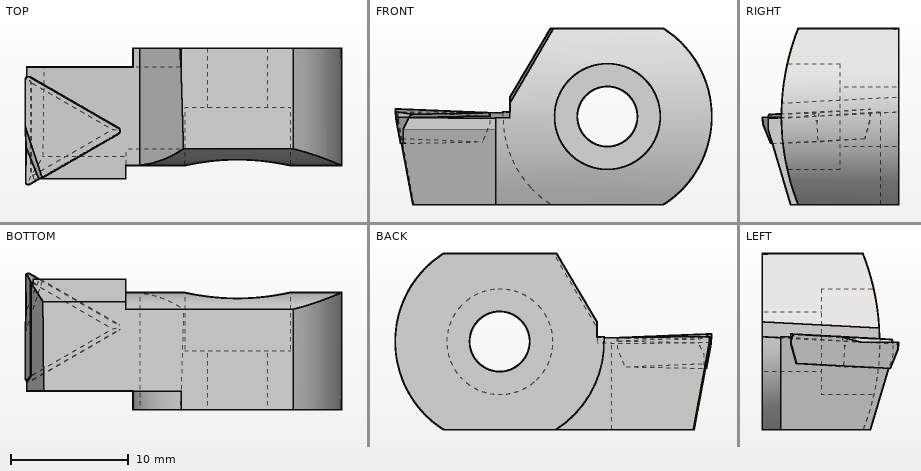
import cadquery as cq
import math


height = 15.0
half_height = height / 2
end_radius = 8.9
body_depth = 10.0
crown_edge_depth = 8.56
neck_x = -9.48
bore_dia = 5.1
counterbore_dia = 9.0
web_depth = 5.0

wall_x = -8.3
seat_z = 0.4
side_tilt = 3.0
end_tilt = 0.6
wall_height = 1.27
slope_angle = 30.0

block_back = -1.6
block_front = -11.12
block_bottom_front = -9.2
block_setback = 0.08
block_lip_z = -1.08

insert_x = -18.05
insert_side = 9.7
insert_mid_y = -7.03
insert_rise = 0.27
insert_thickness = 2.48
nose_radius = 0.32
clearance_angle = 11.0

ledge_z = -0.05
ledge_start_y = -8.21
ledge_angle = 22.0
ledge_wall_lean = 51.0

margin = 26.93

seat_x_slope = -math.tan(math.radians(end_tilt))
seat_y_slope = math.tan(math.radians(side_tilt))
seat = cq.Plane(
    origin=(wall_x, 0, seat_z),
    xDir=(1, 0, seat_x_slope),
    normal=(-seat_x_slope, -seat_y_slope, 1),
)
clearance_slope = math.tan(math.radians(clearance_angle))


def seat_profile(points):
    """Prism with an outline in the seat frame's local X and Z, running across the part."""
    plane = cq.Plane(origin=seat.origin, xDir=seat.xDir, normal=-seat.yDir)
    return cq.Workplane(plane).polyline(points).close().extrude(margin, both=True)


def make_plate():
    """Rounded plate, widened to the neck in front of the block's back face."""
    disc = cq.Workplane("XZ").circle(end_radius).extrude(body_depth)
    neck = cq.Workplane("XY").box(
        -neck_x, body_depth + block_back, height, centered=False
    ).translate((neck_x, -body_depth, -half_height))
    return disc.union(neck)


def make_crown():
    """Side outline swept along X: flat back, top and bottom, and an arched front."""
    return (
        cq.Workplane("YZ")
        .moveTo(0, -half_height)
        .lineTo(-crown_edge_depth, -half_height)
        .threePointArc((-body_depth, 0), (-crown_edge_depth, half_height))
        .lineTo(0, half_height)
        .close()
        .extrude(margin, both=True)
    )


def make_seat_cut():
    """Space above the seat, bounded by the wall and by the slope above it."""
    slope_run = (margin - wall_height) * math.tan(math.radians(slope_angle))
    return seat_profile(
        [(-margin, 0), (0, 0), (0, wall_height), (slope_run, margin), (-margin, margin)]
    )


def make_block():
    """Block that carries the insert: undercut end face, leaning front face, tilted top."""
    end_at_seat = insert_x - wall_x + block_setback + insert_rise * clearance_slope
    end_at_foot = end_at_seat + margin * clearance_slope
    envelope = seat_profile(
        [(end_at_seat, 0), (margin, 0), (margin, -margin), (end_at_foot, -margin)]
    )
    section = [
        (block_back, half_height),
        (block_back, -half_height),
        (block_bottom_front, -half_height),
        (block_front, block_lip_z),
        (block_front, half_height),
    ]
    bar = cq.Workplane("YZ").workplane(offset=neck_x).polyline(section).close().extrude(-margin)
    return bar.intersect(envelope)


def insert_outline():
    """Sharp triangle in the insert's top plane, with one side along the cutting edge."""
    edge_x = insert_x - wall_x
    half_side = insert_side / 2
    tip_x = edge_x + insert_side * math.cos(math.radians(30))
    return (
        cq.Workplane(seat)
        .workplane(offset=insert_rise)
        .polyline([
            (edge_x, insert_mid_y - half_side),
            (tip_x, insert_mid_y),
            (edge_x, insert_mid_y + half_side),
        ])
        .close()
    )


def make_insert_blank():
    """Relieved triangle trimmed by a straight prism with rounded corners."""
    relieved = insert_outline().extrude(-insert_thickness, taper=clearance_angle)
    prism = insert_outline().extrude(-insert_thickness)
    corners = prism.edges(cq.selectors.ParallelDirSelector(seat.zDir))
    return relieved.intersect(corners.fillet(nose_radius))


def make_chip_breaker():
    """Space above the ledge, cut away from the front corner of the insert."""
    turn = math.radians(ledge_angle)
    foot = cq.Plane(
        origin=(insert_x, ledge_start_y, ledge_z),
        xDir=(math.cos(turn), math.sin(turn), 0),
        normal=(math.sin(turn), -math.cos(turn), 0),
    )
    wall_run = margin * math.tan(math.radians(ledge_wall_lean))
    return (
        cq.Workplane(foot)
        .polyline([(0, 0), (-margin, 0), (-margin, margin), (wall_run, margin)])
        .close()
        .extrude(margin, both=True)
    )


insert_blank = make_insert_blank()
insert = insert_blank.cut(make_chip_breaker())

bore = cq.Workplane("XZ").circle(bore_dia / 2).extrude(body_depth)
counterbore = (
    cq.Workplane("XZ").workplane(offset=web_depth).circle(counterbore_dia / 2).extrude(body_depth)
)
holder = (
    make_plate()
    .intersect(make_crown())
    .cut(make_seat_cut())
    .union(make_block())
    .cut(bore)
    .cut(counterbore)
    .cut(insert_blank)
)

result = cq.Compound.makeCompound([holder.val(), insert.val()])